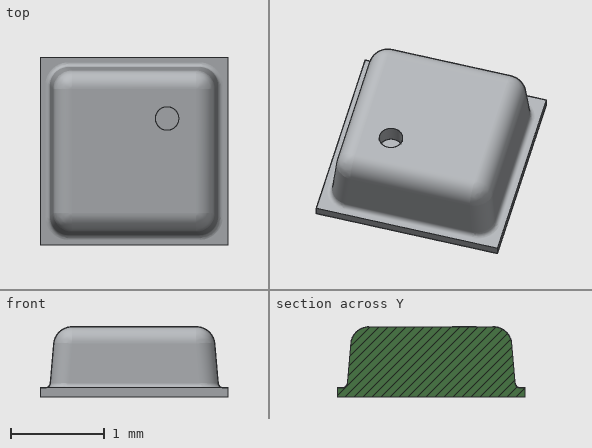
import cadquery as cq

plate_side = 2.0
plate_thickness = 0.1

total_height = 0.75
lid_height = total_height - plate_thickness
lid_side = 1.8
draft_angle = 5.0
edge_radius = 0.2
foot_radius = 0.05

port_diameter = 0.25
port_offset = 0.35
port_depth = 0.2


def make_plate():
    return cq.Workplane("XY").box(
        plate_side, plate_side, plate_thickness, centered=(True, True, False)
    )


def make_lid():
    block = (
        cq.Workplane("XY", origin=(0, 0, plate_thickness))
        .rect(lid_side, lid_side)
        .extrude(lid_height, taper=draft_angle)
    )
    rounded = block.edges("not(#Z)").fillet(edge_radius)
    return rounded.faces(">Z").edges().fillet(edge_radius)


def blend_foot(body):
    reach = (lid_side + plate_side) / 4
    half_band = plate_thickness / 2
    foot_edges = cq.selectors.BoxSelector(
        (-reach, -reach, plate_thickness - half_band),
        (reach, reach, plate_thickness + half_band),
    )
    return body.edges(foot_edges).fillet(foot_radius)


def make_port():
    return (
        cq.Workplane("XY", origin=(port_offset, port_offset, total_height - port_depth))
        .circle(port_diameter / 2)
        .extrude(port_depth)
    )


body = blend_foot(make_plate().union(make_lid()))
result = body.cut(make_port())